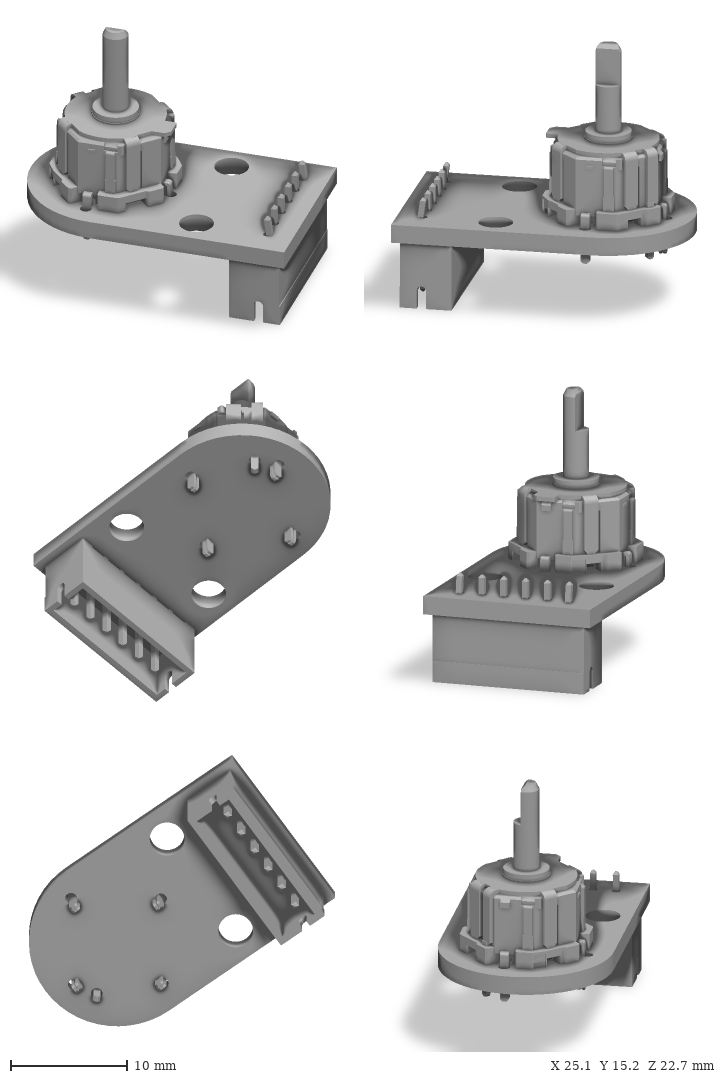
import cadquery as cq
import math

TILT = math.sqrt(0.5)
SIDES = 4
PLUS_Y, MINUS_X, MINUS_Y, PLUS_X = range(SIDES)
FACES = 2 * SIDES
FACE_ANGLE = 360 / FACES
HALF_FACE = math.radians(FACE_ANGLE / 2)

board_thickness = 1.6
board_radius = 7.62
board_length = 25.15
board_end_x = board_length - board_radius
mount_hole_diameter = 3.0
mount_hole_x = 8.85
mount_hole_y = 5.08
lead_hole_diameter = 1.0
lead_hole_reaches = {PLUS_Y: 5.28, MINUS_X: 5.3, MINUS_Y: 5.5, PLUS_X: 5.28}
connector_hole_diameter = 0.75

shaft_diameter = 2.25
shaft_top = 15.05
shaft_tip_height = 0.53
shaft_tip_inset = 0.28
flat_y = 0.3
flat_bottom = 11.5
flat_chamfer = 0.33
cover_top = 6.61
collar_diameter = 4.0
collar_top = 7.3
collar_foot_diameter = 4.12
collar_foot_height = 0.15

shell_apothem = 4.68
shell_bottom = 0.95
shell_top = 6.19
shell_chamfer = 0.2
core_apothem = 4.5
core_window_x = 1.03
core_window_width = 1.2
core_window_height = 0.53
core_window_depth = 0.75
plate_thickness = 0.38
plate_radius = 4.4
plate_flat_reach = 4.2
plate_flat_width = 1.69
plate_flat_x = 0.68
ear_reach = 5.5
ear_width = 2.05
ear_chamfer = 0.45
ear_fillet = 0.15

rib_x = -1.0
rib_reach = 4.9
rib_top = 5.5
rib_foot_top = 2.8
rib_width = 0.78
rib_foot_width = 0.93
rib_round = 0.2
rib_notch_width = 1.23
rib_notch_depth = 0.15
rib_notch_bevel_bottom = 5.85
corner_recess_apothem = 4.45
corner_recess_end_t = -0.08
corner_recess_wide_end_t = 0.1
corner_block_x = -1.85
corner_block_width = 0.5
corner_block_bottom = 5.25
bump_x = 0.73
bump_width = 0.68
bump_height = 0.25
bump_bottom = 5.23
bump_depth = 0.1
catch_x = 0.98
catch_width = 0.83
catch_depth = 0.25

flange_height = 1.5
flange_reach = 5.5
flange_recess_reach = 5.25
flange_inner = 3.77
flange_step_t = 0.15
flange_end_t = 1.89
flange_end_chamfer = 0.2
flange_fillet = 0.2
flange_bend_fillet = 0.45
flange_window_t = -0.78
flange_window_width = 1.38
wide_window_width = 2.05
flange_window_height = 0.8
flange_window_inner = 4.15
corner_cut_start = (-1.5, flange_reach)
corner_cut_end = (-2.7, 4.75)
corner_pocket_height = 1.23
corner_pocket_width = 1.15
corner_pocket_depth = 0.1
corner_pocket_foot_height = 0.53
corner_pocket_foot_depth = 0.2

strap_sheet = 0.38
strap_t = -0.8
strap_width = 1.3
strap_reach = 4.85
pin_strap_t = 1.23
pin_strap_width = 1.0
pin_strap_reach = 5.05
strap_bend = 0.63
strap_root = 3.52
strap_bottom = 1.89
tongue_width = 0.75
tongue_bend_z = 0.75
tongue_tip_z = 0.33
strap_pin_t = 1.0
strap_pin_width = 0.63
strap_pin_thickness = 0.48
strap_pin_reach = 5.13

lead_x = 0.98
lead_width = 0.75
lead_sheet = 0.25
lead_reach = 5.3
lead_top = 1.23
lead_bend = 0.25
lead_tip = -3.17
lead_tip_chamfer = 0.2
inner_lead_reach = 4.93

connector_min_x = 12.37
connector_width = 4.5
connector_length = 13.83
connector_y = -0.08
connector_bottom = -7.67
connector_wall = 0.5
cavity_top = -2.52
pin_count = 6
pin_row_length = 9.98
pin_x = 15.25
pin_size = 0.5
pin_top = 1.75
pin_bottom = -6.7
pin_tip_height = 0.25
pin_tip_size = 0.15
pin_kink = 0.33
relief_width = 1.53
relief_height = 0.23
key_slot_x = 15.01
key_slot_width = 0.83
key_slot_top = -5.65
end_pad_top = -5.8
end_pad_thickness = 0.08

board_bottom = -board_thickness


def block(x, width, y0, y1, z0, z1):
    """Box centred on x, from y0 to y1 and from z0 to z1."""
    box = cq.Workplane("XY").box(width, y1 - y0, z1 - z0, centered=(True, False, False))
    return box.translate((x, y0, z0))


def disc(diameter, z0, z1):
    return cq.Workplane("XY").workplane(offset=z0).circle(diameter / 2).extrude(z1 - z0)


def octagon(apothem, z0, z1):
    across_corners = 2 * apothem / math.cos(HALF_FACE)
    prism = cq.Workplane("XY").polygon(FACES, across_corners).extrude(z1 - z0)
    return prism.rotate((0, 0, 0), (0, 0, 1), FACE_ANGLE / 2).translate((0, 0, z0))


def turned(shape, side):
    """Move a shape built on the +Y side to another side, counted counterclockwise."""
    return shape.rotate((0, 0, 0), (0, 0, 1), side * 360 / SIDES)


def onto_diagonal(shape):
    """Turn a shape built on the +Y side onto the 45 degree face to its left."""
    return shape.rotate((0, 0, 0), (0, 0, 1), FACE_ANGLE)


def diagonal_point(t, reach):
    """Point on the left 45 degree face: t runs counterclockwise, reach is the distance from the axis."""
    return (-TILT * (reach + t), TILT * (reach - t))


def side_profile(points, x, width):
    """Extrude a closed Y-Z outline to a given width centred on x."""
    return cq.Workplane("YZ").polyline(points).close().extrude(width / 2, both=True).translate((x, 0, 0))


def make_shaft():
    radius = shaft_diameter / 2
    tip_start = shaft_top - shaft_tip_height
    shaft = (
        cq.Workplane("XZ")
        .moveTo(0, cover_top)
        .lineTo(radius, cover_top)
        .lineTo(radius, tip_start)
        .lineTo(radius - shaft_tip_inset, shaft_top)
        .lineTo(0, shaft_top)
        .close()
        .revolve(360, (0, 0, 0), (0, 1, 0))
    )
    flat = [
        (flat_y, flat_bottom),
        (flat_y, shaft_top - flat_chamfer),
        (flat_y - flat_chamfer, shaft_top),
        (radius, shaft_top),
        (radius, flat_bottom),
    ]
    shaft = shaft.cut(side_profile(flat, 0, shaft_diameter))
    foot = disc(collar_foot_diameter, cover_top, cover_top + collar_foot_height)
    collar = disc(collar_diameter, cover_top, collar_top)
    return shaft.union(foot).union(collar)


def make_plate():
    bottom = cover_top - plate_thickness
    plate = disc(2 * plate_radius, bottom, cover_top)
    for side in range(SIDES):
        trim = block(-plate_flat_x, plate_flat_width, plate_flat_reach, plate_radius, bottom, cover_top)
        plate = plate.cut(turned(onto_diagonal(trim), side))
    ear_outline = [
        (0, 0),
        (ear_reach, 0),
        (ear_reach, ear_chamfer - ear_width),
        (ear_reach - ear_chamfer, -ear_width),
        (plate_flat_reach / TILT - ear_width, -ear_width),
    ]
    ear = cq.Workplane("XY").workplane(offset=bottom).polyline(ear_outline).close().extrude(plate_thickness)
    return plate.union(ear.edges("|Z and >X").edges(">Y").fillet(ear_fillet))


def make_rib():
    upper = block(rib_x, rib_width, core_apothem, rib_reach, flange_height, rib_top)
    upper = upper.edges(">Y and >Z").fillet(rib_round)
    return upper.union(block(rib_x, rib_foot_width, core_apothem, rib_reach, flange_height, rib_foot_top))


def cut_rib_notch(shell, side):
    """Notch with a bevelled back wall above a rib."""
    outer = shell_apothem + rib_notch_depth
    back = shell_apothem - rib_notch_depth
    bevel = shell_top - rib_notch_bevel_bottom
    outline = [
        (outer, rib_top),
        (back, rib_top),
        (back, rib_notch_bevel_bottom),
        (back - bevel, shell_top),
        (outer, shell_top),
    ]
    return shell.cut(turned(side_profile(outline, rib_x, rib_notch_width), side))


def recess_corner(shell, side):
    """Set back the 45 degree face behind the strap, leaving a block at the top of the corner."""
    outer = flange_recess_reach
    recess_start_t = -outer * math.tan(HALF_FACE)
    for end_t, top in ((corner_recess_end_t, shell_top), (corner_recess_wide_end_t, corner_block_bottom)):
        width = end_t - recess_start_t
        center = -(end_t + recess_start_t) / 2
        recess = block(center, width, corner_recess_apothem, outer, flange_height, top)
        shell = shell.cut(turned(onto_diagonal(recess), side))

    corner = block(corner_block_x, corner_block_width, flange_inner, outer, corner_block_bottom, shell_top)
    corner = corner.intersect(octagon(shell_apothem, corner_block_bottom, shell_top))
    return shell.union(turned(corner, side))


def make_catch():
    """Bump above a lead, with a bevelled top that continues the chamfer of the shell."""
    outer = shell_apothem + catch_depth
    outline = [
        (shell_apothem - shell_chamfer, bump_bottom),
        (outer, bump_bottom),
        (outer, shell_top - shell_chamfer - catch_depth),
        (shell_apothem - shell_chamfer, shell_top),
    ]
    return side_profile(outline, catch_x, catch_width)


def make_shell():
    shell = octagon(shell_apothem, shell_bottom, shell_top).faces(">Z").chamfer(shell_chamfer)
    for side in range(SIDES):
        shell = cut_rib_notch(shell, side)
        shell = recess_corner(shell, side)
    core = octagon(core_apothem, 0, shell_bottom)
    for side in range(SIDES):
        window_inner = core_apothem - core_window_depth
        window = block(core_window_x, core_window_width, window_inner, core_apothem, 0, core_window_height)
        core = core.cut(turned(window, side))
    shell = shell.union(core)
    for side in range(SIDES):
        shell = shell.union(turned(make_rib(), side))
    bump_end = shell_apothem + bump_depth
    for side in (PLUS_Y, MINUS_Y):
        bump = block(bump_x, bump_width, core_apothem, bump_end, bump_bottom, bump_bottom + bump_height)
        shell = shell.union(turned(bump, side))
    for side in (MINUS_X, PLUS_X):
        shell = shell.union(turned(make_catch(), side))
    return shell


def cut_flange_corner(flange):
    """Bevel the corner before the 45 degree face and sink a pocket into the bevel."""
    (x0, y0), (x1, y1) = corner_cut_start, corner_cut_end
    wedge = [corner_cut_start, (x1, y0), corner_cut_end]
    flange = flange.cut(cq.Workplane("XY").polyline(wedge).close().extrude(flange_height))
    slope = math.degrees(math.atan2(y0 - y1, x0 - x1))
    pocket = block(0, corner_pocket_width, -corner_pocket_depth, corner_pocket_depth, 0, corner_pocket_height)
    foot = block(
        0, corner_pocket_width, -corner_pocket_foot_depth, corner_pocket_depth, 0, corner_pocket_foot_height
    )
    pocket = pocket.union(foot).rotate((0, 0, 0), (0, 0, 1), slope)
    return flange.cut(pocket.translate(((x0 + x1) / 2, (y0 + y1) / 2, 0)))


def make_flange(bevelled):
    step = flange_reach - flange_recess_reach
    outline = [
        (0, flange_inner),
        (0, flange_reach),
        (flange_reach - flange_recess_reach / TILT, flange_reach),
        diagonal_point(flange_step_t, flange_recess_reach),
        diagonal_point(flange_step_t + step, flange_reach),
        diagonal_point(flange_end_t - flange_end_chamfer, flange_reach),
        diagonal_point(flange_end_t, flange_reach - flange_end_chamfer),
        diagonal_point(flange_end_t, flange_inner),
    ]
    flange = cq.Workplane("XY").polyline(outline).close().extrude(flange_height)
    flange = flange.edges("|Z and >Y").edges(">X").fillet(flange_fillet)
    if bevelled:
        return cut_flange_corner(flange)
    corner = cq.selectors.NearestToPointSelector((*outline[2], flange_height / 2))
    return flange.edges("|Z").edges(corner).fillet(flange_bend_fillet)


def make_strap(t, width, reach, tongue):
    """Sheet strap folded down from the cover plate, tapering to a narrower tongue of the given shape."""
    inner = reach - strap_sheet
    bend_z = cover_top - strap_bend
    inner_bend = strap_bend - strap_sheet
    strap = (
        cq.Workplane("YZ")
        .moveTo(strap_root, cover_top)
        .lineTo(reach - strap_bend, cover_top)
        .radiusArc((reach, bend_z), strap_bend)
        .lineTo(reach, strap_bottom)
        .lineTo(inner, strap_bottom)
        .lineTo(inner, bend_z)
        .radiusArc((inner - inner_bend, cover_top - strap_sheet), -inner_bend)
        .lineTo(strap_root, cover_top - strap_sheet)
        .close()
        .extrude(width / 2, both=True)
    )
    shoulder = (width - tongue_width) / 2
    taper_outline = [
        (-width / 2, strap_bottom),
        (width / 2, strap_bottom),
        (tongue_width / 2, strap_bottom - shoulder),
        (-tongue_width / 2, strap_bottom - shoulder),
    ]
    taper = cq.Workplane("XZ").polyline(taper_outline).close().extrude(-strap_sheet).translate((0, inner, 0))
    return onto_diagonal(strap.union(taper).translate((-t, 0, 0)).union(tongue))


def make_clip_strap():
    inner = strap_reach - strap_sheet
    drop = tongue_bend_z - tongue_tip_z
    tongue = [
        (strap_reach, strap_bottom),
        (strap_reach, tongue_bend_z),
        (strap_reach - drop, tongue_tip_z),
        (inner - drop, tongue_tip_z),
        (inner, tongue_bend_z),
        (inner, strap_bottom),
    ]
    return make_strap(strap_t, strap_width, strap_reach, side_profile(tongue, -strap_t, tongue_width))


def make_prong(x, width, reach, thickness, top):
    """Flat prong through the board, with a bevelled tip."""
    prong = block(x, width, reach - thickness, reach, lead_tip, top)
    return prong.edges("|Y and <Z").chamfer(lead_tip_chamfer)


def make_pin_strap():
    pin = make_prong(-strap_pin_t, strap_pin_width, strap_pin_reach, strap_pin_thickness, strap_bottom)
    return make_strap(pin_strap_t, pin_strap_width, pin_strap_reach, pin)


def make_lead():
    """Outer prong bent out of the shell, and a second prong just inside it."""
    arm = block(lead_x, lead_width, core_apothem, lead_reach, shell_bottom, lead_top)
    lead = arm.union(make_prong(lead_x, lead_width, lead_reach, lead_sheet, lead_top))
    lead = lead.edges("|X and >Y and >Z").fillet(lead_bend)
    return lead.union(make_prong(lead_x, lead_width, inner_lead_reach, lead_sheet, lead_top))


def make_switch():
    switch = make_shell().union(make_plate()).union(make_shaft())
    for side in range(SIDES):
        switch = switch.union(turned(make_flange(bevelled=side in (MINUS_X, PLUS_X)), side))
    for side in range(SIDES):
        width = wide_window_width if side == MINUS_Y else flange_window_width
        window = block(-flange_window_t, width, flange_window_inner, flange_reach, 0, flange_window_height)
        switch = switch.cut(turned(onto_diagonal(window), side))
        switch = switch.union(turned(make_clip_strap(), side))
        switch = switch.union(turned(make_lead(), side))
    return switch.union(make_pin_strap())


def pin_positions():
    first = connector_y - pin_row_length / 2
    pitch = pin_row_length / (pin_count - 1)
    return [first + index * pitch for index in range(pin_count)]


def make_pin(y, kink):
    """Square pin with tapered tips; the kink is its sideways bend at the middle of the board."""
    half = pin_size / 2
    shoulder_top = pin_top - pin_tip_height
    shoulder_bottom = pin_bottom + pin_tip_height
    shank_outline = [
        (-half, shoulder_bottom),
        (half, shoulder_bottom),
        (half, -board_thickness - shoulder_top),
        (half + kink, -board_thickness / 2),
        (half, shoulder_top),
        (-half, shoulder_top),
        (kink - half, -board_thickness / 2),
        (-half, -board_thickness - shoulder_top),
    ]
    pin = cq.Workplane("XZ").polyline(shank_outline).close().extrude(half, both=True)
    for shoulder, end in ((shoulder_top, pin_top), (shoulder_bottom, pin_bottom)):
        tip = (
            cq.Workplane("XY")
            .workplane(offset=shoulder)
            .rect(pin_size, pin_size)
            .workplane(offset=end - shoulder)
            .rect(pin_tip_size, pin_tip_size)
            .loft()
        )
        pin = pin.union(tip)
    return pin.translate((pin_x, y, 0))


def make_connector():
    center_x = connector_min_x + connector_width / 2
    y0 = connector_y - connector_length / 2
    y1 = y0 + connector_length
    wall = connector_wall
    housing = block(center_x, connector_width, y0, y1, connector_bottom, board_bottom)
    cavity = block(center_x, connector_width - 2 * wall, y0 + wall, y1 - wall, connector_bottom, cavity_top)
    housing = housing.cut(cavity)

    slot_radius = key_slot_width / 2
    arch_z = key_slot_top - slot_radius
    slot = block(key_slot_x, key_slot_width, y0, y1, connector_bottom, arch_z)
    arch = cq.Workplane("XZ").center(key_slot_x, arch_z).circle(slot_radius).extrude(-connector_length)
    housing = housing.cut(slot).cut(arch.translate((0, y0, 0)))

    pad_x = connector_min_x + connector_width + end_pad_thickness / 2
    housing = housing.union(block(pad_x, end_pad_thickness, y0, y1, connector_bottom, end_pad_top))
    relief_bottom = board_bottom - relief_height
    for y in pin_positions():
        half = relief_width / 2
        relief = block(center_x, connector_width, y - half, y + half, relief_bottom, board_bottom)
        housing = housing.cut(relief)
    for index, y in enumerate(pin_positions()):
        at_end = index in (0, pin_count - 1)
        housing = housing.union(make_pin(y, pin_kink if at_end else 0))
    return housing


def make_board(switch, connector):
    straight = cq.Workplane("XY").box(
        board_end_x, 2 * board_radius, board_thickness, centered=(False, True, False)
    )
    board = straight.translate((0, 0, board_bottom)).union(disc(2 * board_radius, board_bottom, 0))
    for y in (-mount_hole_y, mount_hole_y):
        board = board.cut(disc(mount_hole_diameter, board_bottom, 0).translate((mount_hole_x, y, 0)))
    lead_hole = disc(lead_hole_diameter, board_bottom, 0)
    for side, reach in lead_hole_reaches.items():
        board = board.cut(turned(lead_hole.translate((lead_x, reach, 0)), side))
    strap_hole_reach = strap_pin_reach - strap_pin_thickness / 2
    board = board.cut(onto_diagonal(lead_hole.translate((-strap_pin_t, strap_hole_reach, 0))))
    for y in pin_positions():
        board = board.cut(disc(connector_hole_diameter, board_bottom, 0).translate((pin_x, y, 0)))
    return board.cut(switch).cut(connector)


switch = make_switch()
connector = make_connector()
board = make_board(switch, connector)

result = cq.Compound.makeCompound([board.solids().val(), switch.solids().val(), connector.solids().val()])